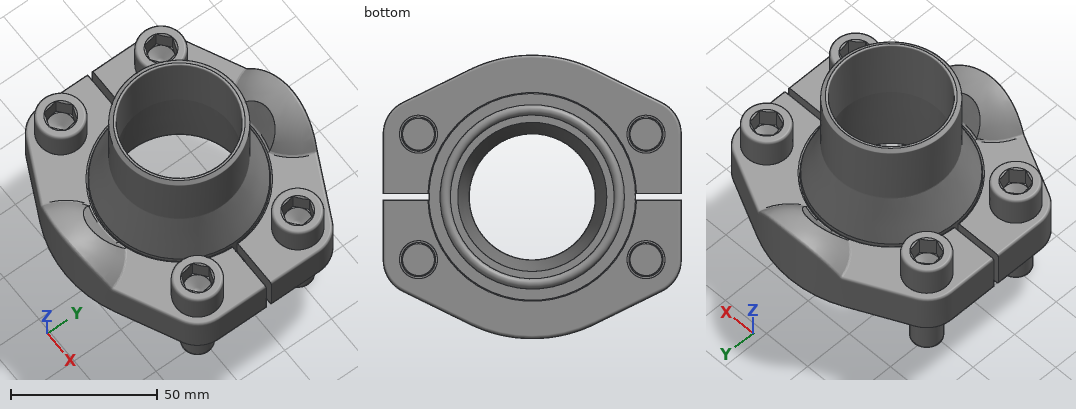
import cadquery as cq
import math

plate_width = 102.0
plate_depth = 97.0
plate_thickness = 16.0
half_gap = 2.2
edge_fillet = 1.0
bolt_pitch_x = 77.8
bolt_pitch_y = 42.9
bolt_hole_dia = 13.0
neck_hole_dia = 62.6
neck_hole_mouth_dia = 63.77
collar_recess_dia = 71.4

plate_arc_radius = plate_depth / 2
corner_radius = (plate_width - bolt_pitch_x) / 2

dome_radius = 26.0
relief_angle = 54.0
blend_radius = 1.0

neck_length = 60.0
face_proud = 0.6
collar_dia = 70.7
collar_top = 9.2
collar_chamfer_height = 0.6
collar_chamfer_width = 0.35
hub_dia = 62.0
hub_top = 16.6
pipe_dia = 48.3
pipe_start = 33.4
pipe_bevel_height = 1.0
pipe_bevel_width = 1.6
pipe_edge_round = 0.4
hub_blend_radius = 1.0
bore_dia = 43.1
bore_mouth_dia = 51.0

ring_inner_dia = 56.0
ring_section = 3.53
ring_proud = 0.8

bolt_dia = 11.7
bolt_length = 35.0
bolt_tip_chamfer = 0.4
head_dia = 18.0
head_height = 12.0
head_fillet = 1.0
socket_across_flats = 10.0
socket_depth = 7.5
socket_turn = 40.0
socket_cone_angle = 120.0

edge_match = 1e-4

face_z = -face_proud
neck_top = face_z + neck_length
ring_radius = ring_section / 2
ring_centre_radius = ring_inner_dia / 2 + ring_radius
groove_outer_dia = ring_inner_dia + 2 * ring_section
groove_depth = ring_section - ring_proud
socket_corner_dia = socket_across_flats / math.cos(math.radians(30))
bolt_places = [
    (side_x * bolt_pitch_x / 2, side_y * bolt_pitch_y / 2)
    for side_x in (-1, 1)
    for side_y in (-1, 1)
]


def cylinder(diameter, bottom, top):
    return cq.Workplane("XY").workplane(offset=bottom).circle(diameter / 2).extrude(top - bottom)


def half_outline(height):
    """Prism of the +Y half: straight sides, corner arcs, tangent flanks and a crown arc."""
    bolt_x = bolt_pitch_x / 2
    bolt_y = bolt_pitch_y / 2
    tangent_angle = math.atan2(bolt_y, bolt_x) + math.acos(
        (plate_arc_radius - corner_radius) / math.hypot(bolt_x, bolt_y)
    )
    normal_x = math.cos(tangent_angle)
    normal_y = math.sin(tangent_angle)
    corner_x = bolt_x + corner_radius * normal_x
    corner_y = bolt_y + corner_radius * normal_y
    corner_mid_x = bolt_x + corner_radius * math.cos(tangent_angle / 2)
    corner_mid_y = bolt_y + corner_radius * math.sin(tangent_angle / 2)
    crown_x = plate_arc_radius * normal_x
    crown_y = plate_arc_radius * normal_y
    return (
        cq.Workplane("XY")
        .moveTo(-plate_width / 2, half_gap / 2)
        .lineTo(plate_width / 2, half_gap / 2)
        .lineTo(plate_width / 2, bolt_y)
        .threePointArc((corner_mid_x, corner_mid_y), (corner_x, corner_y))
        .lineTo(crown_x, crown_y)
        .threePointArc((0, plate_arc_radius), (-crown_x, crown_y))
        .lineTo(-corner_x, corner_y)
        .threePointArc((-corner_mid_x, corner_mid_y), (-plate_width / 2, bolt_y))
        .close()
        .extrude(height)
    )


def make_dome():
    """Ball with a blended foot, revolved about a vertical axis on the crown."""
    blend_centre_z = plate_thickness + blend_radius
    foot_radius = math.sqrt((dome_radius + blend_radius) ** 2 - blend_centre_z ** 2)
    contact_ratio = dome_radius / (dome_radius + blend_radius)
    contact_r = foot_radius * contact_ratio
    contact_z = blend_centre_z * contact_ratio
    ball_mid_angle = (math.atan2(contact_z, contact_r) + math.pi / 2) / 2
    blend_mid_angle = (math.atan2(blend_centre_z, foot_radius) + math.pi / 2) / 2
    return (
        cq.Workplane("XZ")
        .lineTo(foot_radius, 0)
        .lineTo(foot_radius, plate_thickness)
        .threePointArc(
            (
                foot_radius - blend_radius * math.cos(blend_mid_angle),
                blend_centre_z - blend_radius * math.sin(blend_mid_angle),
            ),
            (contact_r, contact_z),
        )
        .threePointArc(
            (dome_radius * math.cos(ball_mid_angle), dome_radius * math.sin(ball_mid_angle)),
            (0, dome_radius),
        )
        .close()
        .revolve(360, (0, 0), (0, 1))
        .translate((0, plate_arc_radius, 0))
        .intersect(half_outline(2 * dome_radius))
    )


def make_relief():
    """Funnel above the plate top, coaxial with the neck, with a blended foot."""
    slope = math.radians(relief_angle)
    blend_length = blend_radius * math.tan(slope / 2)
    blend_start = neck_hole_mouth_dia / 2
    foot_radius = blend_start + blend_length
    rise = dome_radius
    return (
        cq.Workplane("XZ")
        .moveTo(0, plate_thickness)
        .lineTo(blend_start, plate_thickness)
        .threePointArc(
            (
                blend_start + blend_radius * math.sin(slope / 2),
                plate_thickness + blend_radius * (1 - math.cos(slope / 2)),
            ),
            (
                foot_radius + blend_length * math.cos(slope),
                plate_thickness + blend_length * math.sin(slope),
            ),
        )
        .lineTo(foot_radius + rise / math.tan(slope), plate_thickness + rise)
        .lineTo(0, plate_thickness + rise)
        .close()
        .revolve(360, (0, 0), (0, 1))
    )


def make_neck_opening():
    """Recess for the collar, neck hole and its chamfered rim, as one cutter."""
    hole_r = neck_hole_dia / 2
    mouth_r = neck_hole_mouth_dia / 2
    return (
        cq.Workplane("XZ")
        .polyline([
            (0, 0),
            (collar_recess_dia / 2, 0),
            (collar_recess_dia / 2, collar_top),
            (hole_r, collar_top),
            (hole_r, plate_thickness - (mouth_r - hole_r)),
            (mouth_r, plate_thickness),
            (0, plate_thickness),
        ])
        .close()
        .revolve(360, (0, 0), (0, 1))
    )


def is_outer_wall(face):
    """True for the upright outer faces, but not for the flat face along the gap."""
    upright = abs(face.normalAt().z) < edge_match
    return upright and face.Center().y > half_gap


def make_clamp_half():
    """The half on the +Y side."""
    half = make_dome().cut(make_relief()).union(half_outline(plate_thickness))
    half = half.faces().filter(is_outer_wall).edges("not |Z").fillet(edge_fillet)
    half = half.cut(make_neck_opening())
    holes = cq.Workplane("XY").pushPoints(bolt_places).circle(bolt_hole_dia / 2).extrude(plate_thickness)
    return half.cut(holes)


def round_circle(body, diameter, height, radius):
    """Fillet the circular edge of the given diameter at the given height."""
    def is_wanted(edge):
        if edge.geomType() != "CIRCLE":
            return False
        at_height = abs(edge.Center().z - height) < edge_match
        return at_height and abs(2 * edge.radius() - diameter) < edge_match

    return body.edges().filter(is_wanted).fillet(radius)


def make_neck():
    """Weld neck: collar, conical hub and pipe around a bore that widens towards the face."""
    pipe_r = pipe_dia / 2
    hub_r = hub_dia / 2
    collar_r = collar_dia / 2
    neck = (
        cq.Workplane("XZ")
        .polyline([
            (bore_mouth_dia / 2, face_z),
            (collar_r, face_z),
            (collar_r, collar_top - collar_chamfer_height),
            (collar_r - collar_chamfer_width, collar_top),
            (hub_r, collar_top),
            (hub_r, hub_top),
            (pipe_r, pipe_start),
            (pipe_r, neck_top - pipe_bevel_height),
            (pipe_r - pipe_bevel_width, neck_top),
            (bore_dia / 2, neck_top),
            (bore_dia / 2, pipe_start),
        ])
        .close()
        .revolve(360, (0, 0), (0, 1))
    )
    neck = round_circle(neck, pipe_dia, neck_top - pipe_bevel_height, pipe_edge_round)
    neck = round_circle(neck, bore_dia, neck_top, pipe_edge_round)
    neck = round_circle(neck, pipe_dia, pipe_start, hub_blend_radius)
    groove = cylinder(groove_outer_dia, face_z, face_z + groove_depth).cut(
        cylinder(ring_inner_dia, face_z, face_z + groove_depth)
    )
    return neck.cut(groove)


def make_ring():
    """O-ring resting on the floor of the face groove."""
    ring_z = face_z - ring_proud + ring_radius
    return (
        cq.Workplane("XZ")
        .center(ring_centre_radius, ring_z)
        .circle(ring_radius)
        .revolve(360, (-ring_centre_radius, 0), (-ring_centre_radius, 1))
    )


def make_bolt():
    """Socket head bolt on the Z axis, its head resting on the plate top."""
    head_top = plate_thickness + head_height
    tip_z = plate_thickness - bolt_length
    head = cylinder(head_dia, plate_thickness, head_top).faces(">Z").edges().fillet(head_fillet)
    shank = cylinder(bolt_dia, tip_z, plate_thickness).faces("<Z").edges().chamfer(bolt_tip_chamfer)

    floor_z = head_top - socket_depth
    cone_slope = math.tan(math.radians(socket_cone_angle / 2))
    flat_r = socket_across_flats / 2
    corner_r = socket_corner_dia / 2
    socket = (
        cq.Workplane("XY")
        .workplane(offset=floor_z)
        .polygon(6, socket_corner_dia)
        .extrude(socket_depth)
        .rotate((0, 0, 0), (0, 0, 1), socket_turn)
    )
    mouth_and_floor = (
        cq.Workplane("XZ")
        .polyline([
            (0, floor_z - flat_r / cone_slope),
            (flat_r, floor_z),
            (flat_r, head_top - (corner_r - flat_r) / cone_slope),
            (corner_r, head_top),
            (0, head_top),
        ])
        .close()
        .revolve(360, (0, 0), (0, 1))
    )
    return head.union(shank).cut(socket).cut(mouth_and_floor)


back_half = make_clamp_half()
front_half = back_half.mirror("XZ")
neck = make_neck()
ring = make_ring()
bolts = [make_bolt().translate((x, y, 0)) for x, y in bolt_places]

result = cq.Compound.makeCompound(
    [back_half.val(), front_half.val(), neck.val(), ring.val()] + [bolt.val() for bolt in bolts]
)